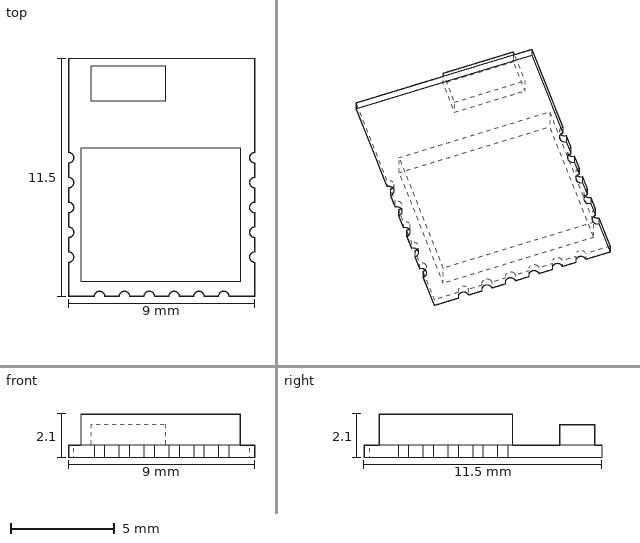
import cadquery as cq

board_width = 9.0
board_length = 11.5
board_thickness = 0.6

contact_radius = 0.25
contact_pitch = 1.2
front_contact_count = 6
side_contact_count = 5
first_side_contact_offset = 1.9

shield_width = 7.7
shield_length = 6.45
shield_height = 1.5
shield_left_margin = 0.6
shield_front_margin = 0.72

antenna_width = 3.6
antenna_length = 1.7
antenna_height = 1.0
antenna_left_margin = 1.08
antenna_back_margin = 0.36

left_edge = -board_width / 2
right_edge = board_width / 2
front_edge = -board_length / 2
back_edge = board_length / 2


def block(left, front, bottom, width, length, height):
    """Box placed by its left, front, bottom corner."""
    box = cq.Workplane("XY").box(width, length, height, centered=False)
    return box.translate((left, front, bottom))


def contact_centres():
    """Centres of the contacts along the front edge and both side edges."""
    first_x = -contact_pitch * (front_contact_count - 1) / 2
    first_y = front_edge + first_side_contact_offset
    centres = [(first_x + i * contact_pitch, front_edge) for i in range(front_contact_count)]
    for edge_x in (left_edge, right_edge):
        centres += [(edge_x, first_y + i * contact_pitch) for i in range(side_contact_count)]
    return centres


def make_board():
    """Plain board with the half-round contacts cut through its edges."""
    board = block(left_edge, front_edge, 0, board_width, board_length, board_thickness)
    contacts = cq.Workplane("XY").pushPoints(contact_centres()).circle(contact_radius)
    return board.cut(contacts.extrude(board_thickness))


def make_shield():
    """Shield can standing on the board."""
    left = left_edge + shield_left_margin
    front = front_edge + shield_front_margin
    return block(left, front, board_thickness, shield_width, shield_length, shield_height)


def make_antenna():
    """Chip antenna standing near the back edge."""
    left = left_edge + antenna_left_margin
    front = back_edge - antenna_back_margin - antenna_length
    return block(left, front, board_thickness, antenna_width, antenna_length, antenna_height)


result = make_board().union(make_shield()).union(make_antenna())